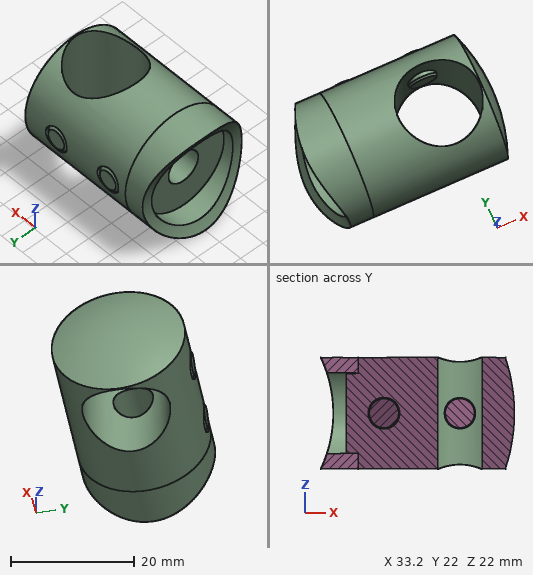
import cadquery as cq
import math

overall_length = 33.18
body_diameter = 22.0
body_radius = body_diameter / 2
dome_height = 2.15
dome_start = overall_length - dome_height

post_radius = 21.2
post_axis_x = -math.sqrt(post_radius**2 - body_radius**2)

adapter_end = 7.17
spigot_length = 2.0
spigot_start = adapter_end - spigot_length
spigot_diameter = 18.0

bore_diameter = 6.57

bar_hole_diameter = 14.35
bar_hole_x = 23.62

screw_diameter = 5.0
screw_length = 4.98
screw_chamfer_length = 0.4
screw_chamfer_depth = 0.15
screw_head_chamfer = 0.6
screw_inner_y = body_radius - screw_length
screw_positions = [11.3, bar_hole_x]


def cylinder_x(start, end, diameter):
    """Cylinder on the X axis between two X positions."""
    return cq.Workplane("YZ", origin=(start, 0, 0)).circle(diameter / 2).extrude(end - start)


def make_adapter():
    adapter = cylinder_x(0, adapter_end, body_diameter)
    post = (
        cq.Workplane("XZ", origin=(post_axis_x, 0, 0))
        .circle(post_radius)
        .extrude(body_diameter, both=True)
    )
    opening = cylinder_x(0, adapter_end, spigot_diameter)
    return adapter.cut(post).cut(opening)


def make_screw(x):
    """Screw along Y whose outer face is tangent to the housing surface."""
    radius = screw_diameter / 2
    profile = [
        (0, screw_inner_y),
        (radius - screw_chamfer_depth, screw_inner_y),
        (radius, screw_inner_y + screw_chamfer_length),
        (radius, body_radius - screw_head_chamfer),
        (radius - screw_head_chamfer, body_radius),
        (0, body_radius),
    ]
    screw = cq.Workplane("XY").polyline(profile).close().revolve(360, (0, 0, 0), (0, 1, 0))
    return screw.translate((x, 0, 0))


def make_housing():
    dome_radius = (body_radius**2 + dome_height**2) / (2 * dome_height)
    dome_center_x = overall_length - dome_radius
    half_angle = math.asin(body_radius / dome_radius) / 2
    dome_middle = (
        dome_center_x + dome_radius * math.cos(half_angle),
        dome_radius * math.sin(half_angle),
    )
    housing = (
        cq.Workplane("XY")
        .moveTo(spigot_start, 0)
        .lineTo(spigot_start, spigot_diameter / 2)
        .lineTo(adapter_end, spigot_diameter / 2)
        .lineTo(adapter_end, body_radius)
        .lineTo(dome_start, body_radius)
        .threePointArc(dome_middle, (overall_length, 0))
        .close()
        .revolve(360, (0, 0, 0), (1, 0, 0))
    )
    bar_hole = (
        cq.Workplane("XY")
        .center(bar_hole_x, 0)
        .circle(bar_hole_diameter / 2)
        .extrude(body_diameter, both=True)
    )
    bore = cylinder_x(spigot_start, bar_hole_x, bore_diameter)
    housing = housing.cut(bar_hole).cut(bore)

    for x in screw_positions:
        screw_hole = (
            cq.Workplane("XZ", origin=(x, screw_inner_y, 0))
            .circle(screw_diameter / 2)
            .extrude(-screw_length)
        )
        housing = housing.cut(screw_hole)
    return housing


adapter = make_adapter()
housing = make_housing()
screws = [make_screw(x) for x in screw_positions]

result = cq.Compound.makeCompound(
    [adapter.val(), housing.val(), *[screw.val() for screw in screws]]
)